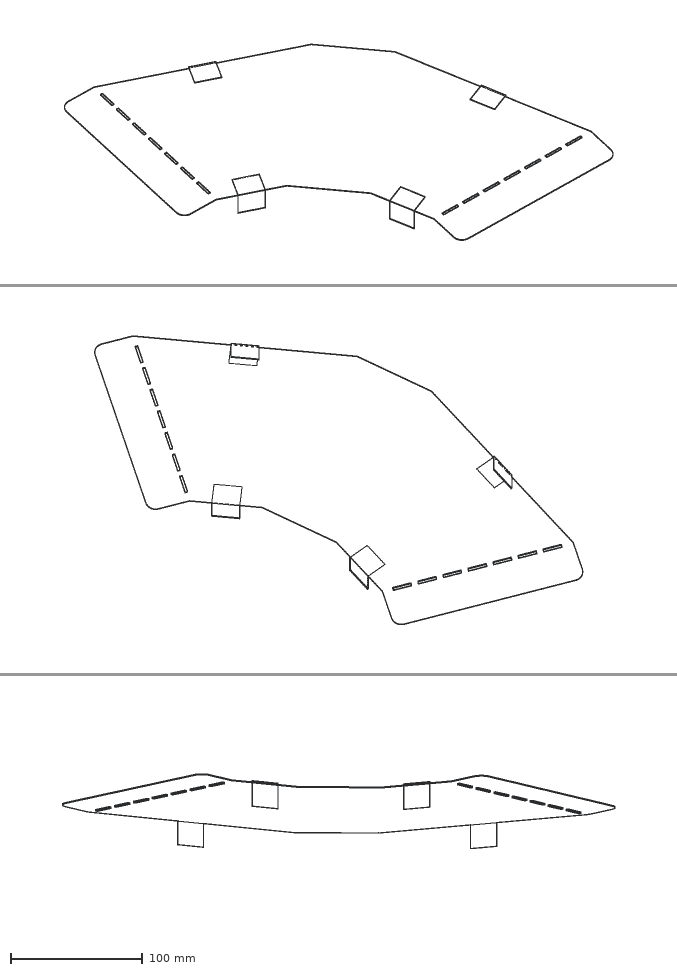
import cadquery as cq
import math

sheet = 0.8
facet_turn = 22.5
arm_width = 140.5
arm_outer_length = 172.0
strip_length = 64.5
flange_depth = 32.5
corner_radius = 8.0

rib_count = 7
rib_length = 14.5
rib_pitch = 20.0
rib_width = 2.0
row_shift = 0.5
groove_depth = 0.5
rib_drop = 0.8

clip_width = 21.5
clip_reach = 17.2
clip_height = 20.0

turn = math.radians(facet_turn)
mitre_rise = arm_width * math.tan(turn)
outer_half = arm_outer_length / 2
inner_half = outer_half - mitre_rise

mid_x = strip_length / 2 * math.sin(turn)
mid_y = outer_half + strip_length / 2 * math.cos(turn)


def reflect(point):
    """Mirror a plan point in the symmetry plane of the bend."""
    along = (math.cos(turn), -math.sin(turn))
    dx = point[0] - mid_x
    dy = point[1] - mid_y
    projection = dx * along[0] + dy * along[1]
    return (
        mid_x + 2 * projection * along[0] - dx,
        mid_y + 2 * projection * along[1] - dy,
    )


def make_rib_row(bottom, height):
    """Row of bars along the fold line of the lower arm."""
    positions = [((i - (rib_count - 1) / 2) * rib_pitch + row_shift, 0) for i in range(rib_count)]
    return (
        cq.Workplane("XY")
        .pushPoints(positions)
        .box(rib_length, rib_width, height, centered=(True, True, False))
        .rotate((0, 0, 0), (0, 0, 1), facet_turn)
        .translate((arm_width / 2, -(outer_half + inner_half) / 2, bottom))
    )


def mirror_to_upper_arm(body):
    """Mirror a body of the lower arm onto the upper arm."""
    normal = (math.sin(turn), math.cos(turn), 0)
    return body.mirror(cq.Vector(*normal), (mid_x, mid_y, 0))


def make_cover():
    """Faceted sheet with two rounded end flanges and two rows of pressed ribs."""
    flange_x = flange_depth * math.sin(turn)
    flange_y = flange_depth * math.cos(turn)
    outer_corner = (flange_x, -outer_half - flange_y)
    inner_corner = (arm_width + flange_x, -inner_half - flange_y)
    lower = [
        (arm_width, inner_half),
        (arm_width, -inner_half),
        inner_corner,
        outer_corner,
        (0, -outer_half),
        (0, outer_half),
    ]
    upper = [reflect(point) for point in reversed(lower)]
    cover = cq.Workplane("XY").polyline(lower + upper).close().extrude(sheet)

    for corner in (outer_corner, inner_corner, reflect(outer_corner), reflect(inner_corner)):
        nearest = cq.selectors.NearestToPointSelector((*corner, sheet / 2))
        cover = cover.edges(nearest).fillet(corner_radius)

    groove_floor = sheet - groove_depth
    ribs = make_rib_row(-rib_drop, rib_drop + groove_floor)
    grooves = make_rib_row(groove_floor, groove_depth)
    for row in (grooves, mirror_to_upper_arm(grooves)):
        cover = cover.cut(row)
    for row in (ribs, mirror_to_upper_arm(ribs)):
        cover = cover.union(row)
    return cover


def make_clip():
    """L-shaped clip hooked over the outer side of the lower arm."""
    top = 2 * sheet
    return (
        cq.Workplane("XZ")
        .moveTo(-sheet, top)
        .lineTo(clip_reach - sheet, top)
        .lineTo(clip_reach - sheet, sheet)
        .lineTo(0, sheet)
        .lineTo(0, top - clip_height)
        .lineTo(-sheet, top - clip_height)
        .close()
        .extrude(clip_width / 2, both=True)
    )


cover = make_cover()

clips = []
for side_angle in (0, 180):
    arm_axis = arm_width / 2
    clip = make_clip().rotate((arm_axis, 0, 0), (arm_axis, 0, 1), side_angle)
    clips.append(clip.val())
    clips.append(mirror_to_upper_arm(clip).val())

result = cq.Compound.makeCompound([cover.val(), *clips])